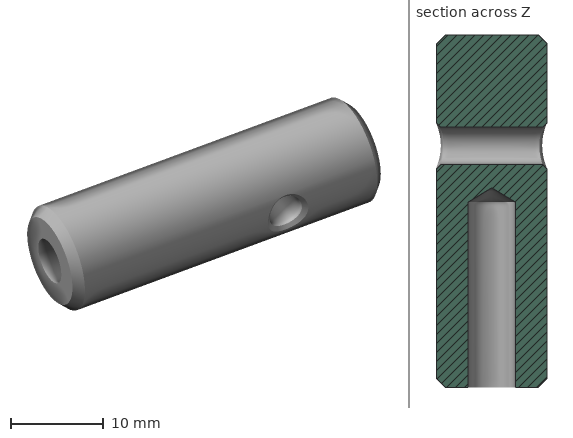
import cadquery as cq
import math

length = 38.1
diameter = 12.0
end_chamfer = 1.0

bore_diameter = 5.1
bore_depth = 20.0
drill_point_angle = 118.0

cross_diameter = 4.0
mouth_chamfer = 0.5
cross_from_back = 12.0

radius = diameter / 2
bore_radius = bore_diameter / 2
front_y = -length / 2
cross_y = length / 2 - cross_from_back


def pin_body():
    """Solid round pin with both ends chamfered."""
    pin = cq.Workplane("XZ", origin=(0, -front_y, 0)).circle(radius).extrude(length)
    return pin.faces("<Y or >Y").chamfer(end_chamfer)


def drill_cross_hole(pin):
    """Drill through along X and chamfer the rim on both sides."""
    drill = (
        cq.Workplane("YZ", origin=(-radius, cross_y, 0))
        .circle(cross_diameter / 2)
        .extrude(diameter)
    )
    rim_zone = cq.selectors.BoxSelector(
        (-diameter, cross_y - cross_diameter, -cross_diameter),
        (diameter, cross_y + cross_diameter, cross_diameter),
        boundingbox=True,
    )
    rims = pin.cut(drill).edges(rim_zone).edges("not |X")
    return rims.chamfer(mouth_chamfer)


def axial_bore():
    """Drill shape: a cylinder ending in a cone on the pin axis."""
    point_length = bore_radius / math.tan(math.radians(drill_point_angle / 2))
    shoulder_y = front_y + bore_depth
    return (
        cq.Workplane("XY")
        .moveTo(0, front_y)
        .lineTo(bore_radius, front_y)
        .lineTo(bore_radius, shoulder_y)
        .lineTo(0, shoulder_y + point_length)
        .close()
        .revolve(360, (0, 0, 0), (0, 1, 0))
    )


result = drill_cross_hole(pin_body()).cut(axial_bore())